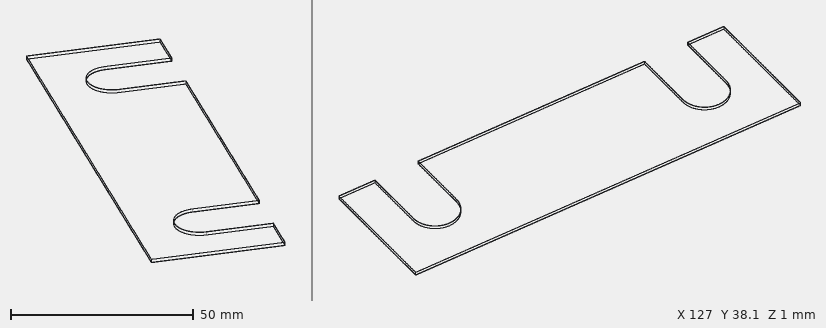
import cadquery as cq

length = 127.0
width = 38.1
thickness = 1.0

slot_spacing = 88.9
slot_width = 14.2
slot_depth = 26.2

slot_radius = slot_width / 2
back_edge = width / 2
arc_center_y = back_edge - slot_depth + slot_radius


def slot_cutter(center_x):
    """Solid for one slot with a round closed end."""
    left = center_x - slot_radius
    right = center_x + slot_radius
    return (
        cq.Workplane("XY")
        .moveTo(left, back_edge)
        .lineTo(left, arc_center_y)
        .threePointArc((center_x, arc_center_y - slot_radius), (right, arc_center_y))
        .lineTo(right, back_edge)
        .close()
        .extrude(thickness)
    )


result = cq.Workplane("XY").rect(length, width).extrude(thickness)
for side in (-1, 1):
    result = result.cut(slot_cutter(side * slot_spacing / 2))